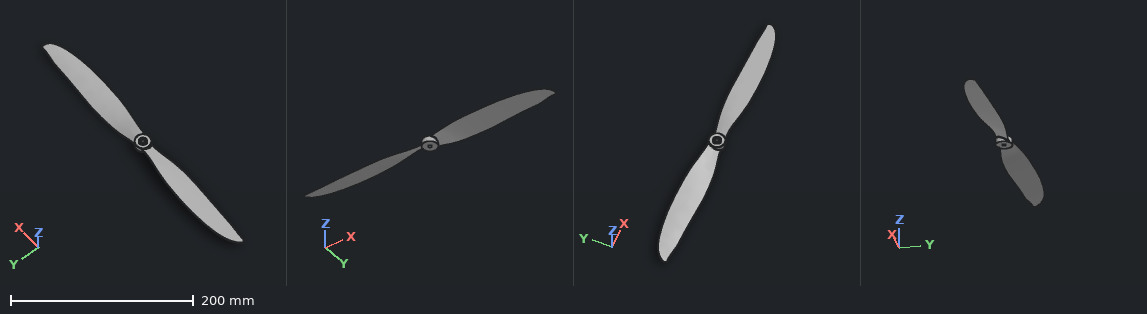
import cadquery as cq

SPAN = 333.0
TIP = SPAN / 2

HUB_RADIUS = 9.3
HUB_TOP = 3.5
HUB_BOTTOM = -4.3
HUB_CHAMFER = 0.3
BORE_RADIUS = 2.0
GROOVE_OUTER_RADIUS = 4.5
GROOVE_INNER_RADIUS = 3.5
GROOVE_DEPTH = 1.5

EDGE_THICKNESS = 0.5
UPPER_BULGE = 1.0
LOWER_HOLLOW = 0.15

STATIONS = [
    (6.0, 7.5, 3.0, -7.3, -3.5),
    (15.0, 8.0, 4.5, -8.0, -4.3),
    (26.5, 9.5, 5.3, -10.3, -5.3),
    (43.3, 12.5, 4.5, -12.5, -5.0),
    (66.5, 15.0, 3.3, -13.5, -4.5),
    (96.5, 15.5, 2.5, -12.3, -4.0),
    (126.5, 13.5, 2.0, -11.0, -3.5),
    (146.5, 12.5, 1.5, -9.5, -3.3),
    (TIP, 12.0, 1.3, -8.5, -3.3),
]

TIP_CURVE = [(116.5, 15.0), (133.2, 12.5), (150.0, 8.5), (161.5, 2.3), (166.0, -3.0)]
TIP_END = (TIP, -5.3)
TIP_CORNER = (164.5, -8.3)
TRIM_MARGIN = 10.0
TRIM_HALF_HEIGHT = 10.0


def blade_section(distance, lead_y, lead_z, trail_y, trail_z):
    """Closed cambered wire across the blade at one distance from the axis."""
    lead_bottom = lead_z - EDGE_THICKNESS
    trail_top = trail_z + EDGE_THICKNESS
    middle_y = (lead_y + trail_y) / 2
    upper_middle = (middle_y, (lead_z + trail_top) / 2 + UPPER_BULGE)
    lower_middle = (middle_y, (lead_bottom + trail_z) / 2 + LOWER_HOLLOW)
    section = (
        cq.Workplane("YZ", origin=(-distance, 0, 0))
        .moveTo(trail_y, trail_z)
        .threePointArc(lower_middle, (lead_y, lead_bottom))
        .lineTo(lead_y, lead_z)
        .threePointArc(upper_middle, (trail_y, trail_top))
        .close()
    )
    return section.val()


def tip_outline():
    """Plan-view prism that leaves the blade alone inboard and rounds its tip."""
    curve = [(-distance, y) for distance, y in TIP_CURVE + [TIP_END]]
    start_x, start_y = curve[0]
    trim_y = start_y + TRIM_MARGIN
    return (
        cq.Workplane("XY", origin=(0, 0, -TRIM_HALF_HEIGHT))
        .moveTo(0, -trim_y)
        .lineTo(0, trim_y)
        .lineTo(start_x, trim_y)
        .lineTo(start_x, start_y)
        .spline(curve[1:], includeCurrent=True)
        .lineTo(-TIP_CORNER[0], TIP_CORNER[1])
        .lineTo(-TIP_CORNER[0], -trim_y)
        .close()
        .extrude(2 * TRIM_HALF_HEIGHT)
    )


def make_blade():
    sections = [blade_section(*station) for station in STATIONS]
    untrimmed = cq.Solid.makeLoft(sections)
    return cq.Workplane(untrimmed).intersect(tip_outline())


def make_hub():
    base = cq.Workplane("XY", origin=(0, 0, HUB_BOTTOM))
    hub = base.circle(HUB_RADIUS).extrude(HUB_TOP - HUB_BOTTOM)
    return hub.faces(">Z").edges().chamfer(HUB_CHAMFER)


def cut_bore(body):
    """Bore through the hub, with a ring groove around it in its upper face."""
    top = cq.Workplane("XY", origin=(0, 0, HUB_TOP))
    bore = top.circle(BORE_RADIUS).extrude(HUB_BOTTOM - HUB_TOP)
    groove = top.circle(GROOVE_OUTER_RADIUS).circle(GROOVE_INNER_RADIUS).extrude(-GROOVE_DEPTH)
    return body.cut(bore).cut(groove)


blade = make_blade()
opposite_blade = blade.rotate((0, 0, 0), (0, 0, 1), 180)
result = cut_bore(make_hub().union(blade).union(opposite_blade))